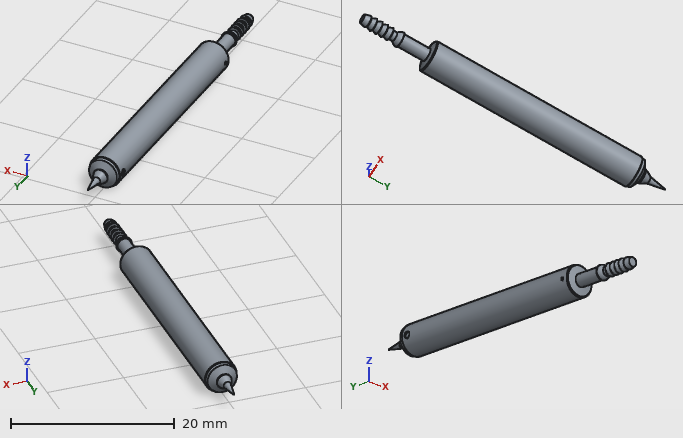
import cadquery as cq


body_radius = 2.1
tube_radius = 0.87
barb_core_radius = 0.6
barb_tip_radius = 0.87

tip_y = 21.85
tip_radius = 0.05
needle_base_y = 19.5
needle_base_radius = 0.5

cone_bulge = 0.05
land_radius = 0.95
land_y = 18.55
land_length = 0.17
shoulder_radius = 1.92
shoulder_y = 17.8
collar_y = 17.35
collar_edge = 0.1

body_end_y = -12.35
body_end_chamfer = 0.15
dome_height = 0.17
dome_bulge = 0.05

bead_radius = tube_radius + 0.15
bead_start_y = -16.4
bead_length = 0.15
bead_end_y = -17.17
bead_bulge = 0.1

tail_end_y = -21.85
barb_count = 4
first_barb_y = -17.87
barb_pitch = 0.8
barb_rise = 0.15

end_barb_radius = 0.8
end_barb_land = 0.17

hole_depth = 0.2
front_hole_y = 16.4
front_hole_diameter = 0.87
rear_hole_y = -11.45
rear_hole_diameter = 0.4


def bulged_to(outline, start, end, bulge):
    """Add an arc from start to end whose middle stands out from the chord in radius."""
    middle = ((start[0] + end[0]) / 2 + bulge, (start[1] + end[1]) / 2)
    return outline.threePointArc(middle, end)


def add_nose(outline):
    """Add the needle, bulged cone, land, shoulder and collar."""
    needle_base = (needle_base_radius, needle_base_y)
    land_start = (land_radius, land_y)
    outline = outline.lineTo(tip_radius, tip_y).lineTo(*needle_base)
    return (
        bulged_to(outline, needle_base, land_start, cone_bulge)
        .lineTo(land_radius, land_y - land_length)
        .lineTo(shoulder_radius, shoulder_y)
        .lineTo(body_radius - collar_edge, collar_y)
        .lineTo(body_radius, collar_y - collar_edge)
    )


def add_body(outline):
    """Add the long cylinder with its chamfered and domed rear end."""
    dome_rim = (body_radius - body_end_chamfer, body_end_y)
    dome_top = (tube_radius, body_end_y - dome_height)
    outline = outline.lineTo(body_radius, body_end_y + body_end_chamfer).lineTo(*dome_rim)
    return bulged_to(outline, dome_rim, dome_top, dome_bulge)


def add_tube(outline):
    """Add the tube and the bead that closes it."""
    bead_rear = (bead_radius, bead_start_y - bead_length)
    core_start = (barb_core_radius, bead_end_y)
    outline = (
        outline.lineTo(tube_radius, bead_start_y)
        .lineTo(bead_radius, bead_start_y)
        .lineTo(*bead_rear)
    )
    return bulged_to(outline, bead_rear, core_start, bead_bulge)


def add_barbs(outline):
    """Add the barbs: each rises steeply to its peak, then tapers to the next one."""
    for index in range(barb_count):
        peak_y = first_barb_y - index * barb_pitch
        outline = (
            outline.lineTo(barb_core_radius, peak_y + barb_rise)
            .lineTo(barb_tip_radius, peak_y)
        )
    end_peak_y = first_barb_y - barb_count * barb_pitch
    return (
        outline.lineTo(barb_core_radius, end_peak_y + barb_rise)
        .lineTo(end_barb_radius, end_peak_y)
        .lineTo(end_barb_radius, end_peak_y - end_barb_land)
        .lineTo(barb_core_radius, tail_end_y)
    )


def side_hole(center_y, diameter):
    """Return the cutter for a blind hole entering the body from the -X side."""
    return (
        cq.Workplane("YZ", origin=(-body_radius, center_y, 0))
        .circle(diameter / 2)
        .extrude(hole_depth)
    )


outline = cq.Workplane("XY").moveTo(0, tip_y)
outline = add_nose(outline)
outline = add_body(outline)
outline = add_tube(outline)
outline = add_barbs(outline)
outline = outline.lineTo(0, tail_end_y).close()

result = outline.revolve(360, (0, 0, 0), (0, 1, 0))
result = result.cut(side_hole(front_hole_y, front_hole_diameter))
result = result.cut(side_hole(rear_hole_y, rear_hole_diameter))